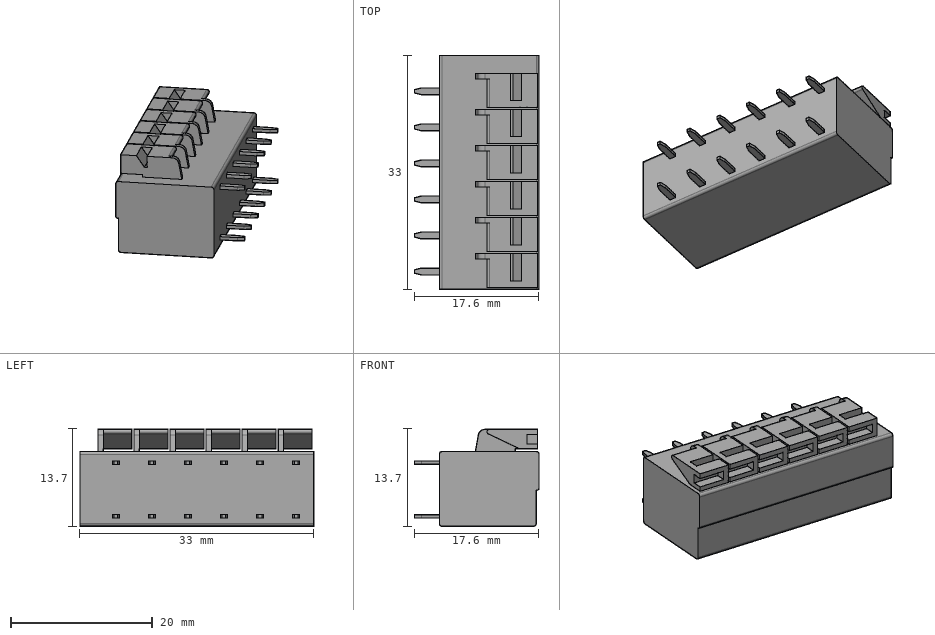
import cadquery as cq
import math

HOUSING_LENGTH = 33.02
HOUSING_HEIGHT = 10.55
HOUSING_DEPTH = 14.1
EDGE_RADIUS = 0.4
STEP_SETBACK = 0.4
STEP_HEIGHT = 5.1
STEP_RADIUS = 0.33

POLE_COUNT = 6
POLE_PITCH = 5.1
FIRST_PIN_Y = 11.42

PIN_LENGTH = 3.5
PIN_WIDTH = 1.0
PIN_THICKNESS = 0.5
PIN_TAPER_LENGTH = 1.0
PIN_TIP_WIDTH = 0.5
LOWER_PIN_Z = 1.42
PIN_ROW_SPACING = 7.55

LEVER_TOP = 13.7
LEVER_END_X = 13.87
LEVER_UNDERSIDE = 10.93
FIRST_LEVER_Y = 13.97
LEVER_WIDTH = 4.82
ARM_THICKNESS = 0.8
ARM_START_X = 5.1
ARM_FOOT_END_X = 10.73
ARM_CORNER_X = 5.65
ARM_CORNER_RADIUS = 1.0
KEY_NOSE_X = 6.75
KEY_NOSE_HEIGHT = 0.65
KEY_SLOPE_ANGLE = 25.5

NOTCH_DEPTH = 1.5
NOTCH_BOTTOM = 11.62
NOTCH_HEIGHT = 1.32

SLOT_START_X = 10.05
SLOT_FLOOR_WIDTH = 0.4
SLOT_TOP_WIDTH = 1.55
SLOT_DEPTH = 1.65
SLOT_LENGTH = 3.85


def extrude_along_y(outline, y_max, width):
    """Extrude a closed XZ outline from y_max towards -Y."""
    return outline.extrude(width).translate((0, y_max, 0))


def make_housing():
    outline = (
        cq.Workplane("XZ")
        .moveTo(0, 0)
        .lineTo(HOUSING_DEPTH - STEP_SETBACK, 0)
        .lineTo(HOUSING_DEPTH - STEP_SETBACK, STEP_HEIGHT)
        .lineTo(HOUSING_DEPTH, STEP_HEIGHT)
        .lineTo(HOUSING_DEPTH, HOUSING_HEIGHT)
        .lineTo(0, HOUSING_HEIGHT)
        .close()
    )
    block = extrude_along_y(outline, HOUSING_LENGTH / 2, HOUSING_LENGTH)
    block = block.edges("|Y and (<X or >Z or <Z)").fillet(EDGE_RADIUS)
    return block.faces(">X").edges("<Z").fillet(STEP_RADIUS)


def make_pin(y, z):
    """Flat pin with a tapered tip, pointing to -X and rooted in the housing face."""
    half_width = PIN_WIDTH / 2
    half_tip = PIN_TIP_WIDTH / 2
    taper_x = PIN_TAPER_LENGTH - PIN_LENGTH
    return (
        cq.Workplane("XY")
        .polyline([
            (EDGE_RADIUS, half_width),
            (taper_x, half_width),
            (-PIN_LENGTH, half_tip),
            (-PIN_LENGTH, -half_tip),
            (taper_x, -half_width),
            (EDGE_RADIUS, -half_width),
        ])
        .close()
        .extrude(PIN_THICKNESS)
        .translate((0, y, z - PIN_THICKNESS / 2))
    )


def make_arm(y_max):
    arm_outline = (
        cq.Workplane("XZ")
        .moveTo(ARM_START_X, HOUSING_HEIGHT)
        .lineTo(ARM_CORNER_X, LEVER_TOP)
        .lineTo(LEVER_END_X, LEVER_TOP)
        .lineTo(LEVER_END_X, LEVER_UNDERSIDE)
        .lineTo(ARM_FOOT_END_X, LEVER_UNDERSIDE)
        .lineTo(ARM_FOOT_END_X, HOUSING_HEIGHT)
        .close()
    )
    arm = extrude_along_y(arm_outline, y_max, ARM_THICKNESS)
    return arm.faces(">Z").edges("<X").fillet(ARM_CORNER_RADIUS)


def make_key(y_max):
    """Wedge beside the arm, with a rounded nose between its sloped underside and its top."""
    slope = math.radians(KEY_SLOPE_ANGLE)
    nose_radius = KEY_NOSE_HEIGHT / (1 + math.cos(slope))
    nose_x = KEY_NOSE_X + nose_radius
    nose_z = LEVER_TOP - nose_radius
    slope_top = (nose_x - nose_radius * math.sin(slope), nose_z - nose_radius * math.cos(slope))
    slope_end_x = slope_top[0] + (slope_top[1] - LEVER_UNDERSIDE) / math.tan(slope)
    key_outline = (
        cq.Workplane("XZ")
        .moveTo(*slope_top)
        .threePointArc((KEY_NOSE_X, nose_z), (nose_x, LEVER_TOP))
        .lineTo(LEVER_END_X, LEVER_TOP)
        .lineTo(LEVER_END_X, LEVER_UNDERSIDE)
        .lineTo(slope_end_x, LEVER_UNDERSIDE)
        .close()
    )
    key = extrude_along_y(key_outline, y_max, LEVER_WIDTH)

    notch_outline = (
        cq.Workplane("XZ")
        .moveTo(LEVER_END_X - NOTCH_DEPTH, NOTCH_BOTTOM)
        .rect(NOTCH_DEPTH, NOTCH_HEIGHT, centered=False)
    )
    notch = extrude_along_y(notch_outline, y_max - ARM_THICKNESS, LEVER_WIDTH - ARM_THICKNESS)
    return key.cut(notch)


def make_slot(y_max):
    slot_floor = LEVER_TOP - SLOT_DEPTH
    slot_outline = (
        cq.Workplane("XZ")
        .moveTo(SLOT_START_X, LEVER_TOP)
        .lineTo(SLOT_START_X, slot_floor)
        .lineTo(SLOT_START_X + SLOT_FLOOR_WIDTH, slot_floor)
        .lineTo(SLOT_START_X + SLOT_TOP_WIDTH, LEVER_TOP)
        .close()
    )
    return extrude_along_y(slot_outline, y_max, SLOT_LENGTH)


def make_lever(y_max):
    return make_arm(y_max).union(make_key(y_max)).cut(make_slot(y_max))


result = make_housing()
for pole in range(POLE_COUNT):
    pole_offset = pole * POLE_PITCH
    result = result.union(make_lever(FIRST_LEVER_Y - pole_offset))
    for pin_z in (LOWER_PIN_Z, LOWER_PIN_Z + PIN_ROW_SPACING):
        result = result.union(make_pin(FIRST_PIN_Y - pole_offset, pin_z))